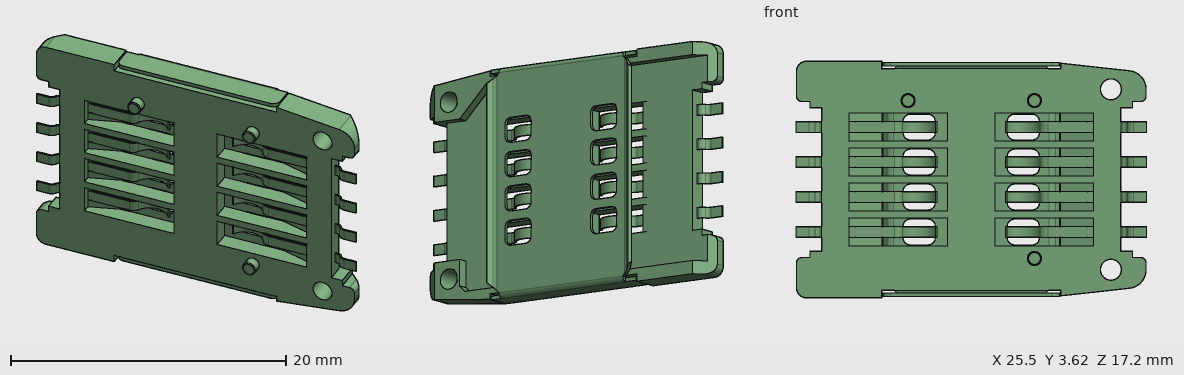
import cadquery as cq
import math


housing_length = 25.42
housing_width = 17.2
housing_depth = 2.1
waist_length = 21.73
notch_half_width = 5.2
step_length = 23.45
step_half_width = 5.65
taper_start_x = 5.15
taper_end_half_width = 7.78
entry_corner_radius = 0.76
far_corner_radius = 1.38
lobe_corner_radius = 0.4
end_chamfer = 1.3

pocket_floor_y = 1.3
pocket_half_width = 7.62
pocket_stop_x = 9.18
pocket_small_corner = 0.45
pocket_big_corner = pocket_half_width - notch_half_width

window_outer_x = 8.87
window_inner_x = 1.73
window_width = 2.01
window_row_span = 7.62
window_rows = 4
ramp_inner_x = 6.48
ramp_start_y = 0.59

hole_diameter = 1.5
hole_x = 10.15
hole_z = 6.55
pin_diameter = 1.02
pin_length = 0.76
pin_chamfer = 0.08
pin_x = 4.6
pin_z = 5.75

contact_width = 0.8
contact_thickness = 0.13
contact_front_y = ramp_start_y
contact_bend_angle = 60
contact_end_x = 12.75
foot_length = 0.97
tail_outer_radius = 0.5
spring_start_x = 5.55
spring_foot_radius = 0.66
spring_crest_radius = 1.5

clip_thickness = 0.28
clip_wall_length = 12.85
clip_wall_front_y = 0.23
clip_wall_corner_radius = 0.55
clip_half_width = 8.52
clip_bend_inner_radius = 0.08
clip_gap = 0.05
clip_plate_y = housing_depth + clip_gap
flare_start_x = 5.64
flare_outer_radius = 0.66
flare_angle = 45
flare_straight = 0.45
flare_tip_half_width = 7.22
clip_hole_outer_x = 4.95
clip_hole_inner_x = 2.63
clip_hole_width = 1.85
clip_hole_radius = 0.5

recess_length = 12.98
recess_half_width = 8.05

window_pitch = window_row_span / (window_rows - 1)
row_heights = [row * window_pitch - window_row_span / 2 for row in range(window_rows)]


def box(x_range, y_range, z_range):
    """Block between two limits along each axis."""
    size = [high - low for low, high in (x_range, y_range, z_range)]
    corner = cq.Vector(x_range[0], y_range[0], z_range[0])
    return cq.Workplane(cq.Solid.makeBox(*size, corner))


def front_plane(y):
    """Plane at depth y, seen from the front, that extrudes towards the back with a negative length."""
    return cq.Workplane("XZ", origin=(0, y, 0))


def mirror_ends(shape):
    """The shape together with its mirror image at the other end."""
    return shape.union(shape.mirror("YZ"))


def bent_strip(start, moves, thickness, width):
    """Sheet strip bent in the XY plane, starting towards +X and centred on Z = 0.

    start is on the front face. A move is (length, 0) for a straight stretch, or (front radius, turn)
    for a bend, where a positive turn in degrees bends the strip towards +Y.
    """
    front_x, front_y = start
    heading = 0.0

    def across(distance):
        offset_x = -math.sin(heading) * distance
        offset_y = math.cos(heading) * distance
        return (front_x + offset_x, front_y + offset_y)

    front_points = [across(0)]
    back_points = [across(thickness)]
    middles = []
    for size, turn in moves:
        if turn == 0:
            front_x += size * math.cos(heading)
            front_y += size * math.sin(heading)
            middles.append(None)
        else:
            side = math.copysign(size, turn)
            centre_x, centre_y = across(side)
            half_turn = math.radians(turn) / 2
            arc_points = []
            for _ in range(2):
                heading += half_turn
                front_x = centre_x + side * math.sin(heading)
                front_y = centre_y - side * math.cos(heading)
                arc_points.append((across(0), across(thickness)))
            middles.append(arc_points[0])
        front_points.append(across(0))
        back_points.append(across(thickness))

    outline = cq.Workplane("XY", origin=(0, 0, -width / 2)).moveTo(*front_points[0])
    for middle, point in zip(middles, front_points[1:]):
        outline = outline.threePointArc(middle[0], point) if middle else outline.lineTo(*point)
    outline = outline.lineTo(*back_points[-1])
    for middle, point in zip(reversed(middles), reversed(back_points[:-1])):
        outline = outline.threePointArc(middle[1], point) if middle else outline.lineTo(*point)
    return outline.close().extrude(width)


def round_corners(body, x, z, radius):
    """Round the two depth-wise edges of the housing at (x, z) and (x, -z)."""
    for side in (1, -1):
        edge_middle = (x, housing_depth / 2, side * z)
        body = body.edges(cq.selectors.NearestToPointSelector(edge_middle)).fillet(radius)
    return body


def housing_blank():
    """Plate outline with its rounded corners and the chamfered back ends."""
    end_x = housing_length / 2
    edge_z = housing_width / 2
    upper = [
        (-waist_length / 2, notch_half_width),
        (-step_length / 2, notch_half_width),
        (-step_length / 2, step_half_width),
        (-end_x, step_half_width),
        (-end_x, edge_z),
        (taper_start_x, edge_z),
        (end_x, taper_end_half_width),
        (end_x, step_half_width),
        (step_length / 2, step_half_width),
        (step_length / 2, notch_half_width),
        (waist_length / 2, notch_half_width),
    ]
    lower = [(x, -z) for x, z in reversed(upper)]
    blank = front_plane(0).polyline(upper + lower).close().extrude(-housing_depth)

    blank = round_corners(blank, -end_x, edge_z, entry_corner_radius)
    blank = round_corners(blank, end_x, taper_end_half_width, far_corner_radius)
    blank = round_corners(blank, -end_x, step_half_width, lobe_corner_radius)
    blank = round_corners(blank, end_x, step_half_width, lobe_corner_radius)

    wedge = (
        cq.Workplane("XY", origin=(0, 0, -housing_width / 2))
        .moveTo(end_x, housing_depth - end_chamfer)
        .lineTo(end_x, housing_depth)
        .lineTo(end_x - end_chamfer, housing_depth)
        .close()
        .extrude(housing_width)
    )
    return blank.cut(mirror_ends(wedge))


def card_pocket():
    """Pocket open at the -X end; its far end narrows to the notch width at one big and one small slant."""
    stop_x = pocket_stop_x
    return (
        front_plane(pocket_floor_y)
        .moveTo(-housing_length / 2, -pocket_half_width)
        .lineTo(stop_x - pocket_small_corner, -pocket_half_width)
        .lineTo(stop_x, -pocket_half_width + pocket_small_corner)
        .lineTo(stop_x, -notch_half_width)
        .lineTo(waist_length / 2, -notch_half_width)
        .lineTo(waist_length / 2, notch_half_width)
        .lineTo(stop_x, notch_half_width)
        .lineTo(stop_x - pocket_big_corner, pocket_half_width)
        .lineTo(-housing_length / 2, pocket_half_width)
        .close()
        .extrude(pocket_floor_y - housing_depth)
    )


def contact_window(z):
    """Opening with a sloped floor at its outer end, on the -X side."""
    return (
        cq.Workplane("XY", origin=(0, 0, z - window_width / 2))
        .moveTo(-window_outer_x, 0)
        .lineTo(-window_outer_x, ramp_start_y)
        .lineTo(-ramp_inner_x, pocket_floor_y)
        .lineTo(-window_inner_x, pocket_floor_y)
        .lineTo(-window_inner_x, 0)
        .close()
        .extrude(window_width)
    )


def contact(z):
    """Solder tail, flat arm and curved spring of one contact on the -X side."""
    bend = contact_bend_angle
    tail_inner_radius = tail_outer_radius - contact_thickness
    spring_inner_radius = spring_crest_radius - contact_thickness
    bend_sine = math.sin(math.radians(bend))
    tail_rise = (tail_outer_radius + tail_inner_radius) * (1 - math.cos(math.radians(bend)))
    tail_run = (tail_outer_radius + tail_inner_radius) * bend_sine
    arm_length = contact_end_x - foot_length - tail_run - spring_start_x
    moves = [
        (foot_length, 0),
        (tail_outer_radius, bend),
        (tail_inner_radius, -bend),
        (arm_length, 0),
        (spring_foot_radius, bend),
        (spring_inner_radius, -2 * bend),
    ]
    foot_tip = (-contact_end_x, contact_front_y - tail_rise)
    return bent_strip(foot_tip, moves, contact_thickness, contact_width).translate((0, 0, z))


def make_housing():
    """Moulded housing with its pins and the contacts fixed in it, as one solid."""
    body = housing_blank().cut(card_pocket())
    for side in (1, -1):
        recess_z = sorted((side * recess_half_width, side * housing_width / 2))
        body = body.cut(box((-recess_length / 2, recess_length / 2), (0, housing_depth), recess_z))

    hole_centres = [(hole_x, hole_z), (hole_x, -hole_z)]
    holes = front_plane(0).pushPoints(hole_centres).circle(hole_diameter / 2).extrude(-housing_depth)
    body = body.cut(holes)

    pin_centres = [(-pin_x, pin_z), (pin_x, pin_z), (pin_x, -pin_z)]
    pins = front_plane(0).pushPoints(pin_centres).circle(pin_diameter / 2).extrude(pin_length)
    body = body.union(pins.faces("<Y").chamfer(pin_chamfer))

    for z in row_heights:
        body = body.cut(mirror_ends(contact_window(z)))
        body = body.union(mirror_ends(contact(z)))
    return body


def clip_plate():
    """Flat plate with both ends flared backwards and narrowed by 45 degree side cuts.

    Also returns the distance from the middle to the start of the side cuts.
    """
    plate_half_width = clip_half_width - clip_thickness - clip_bend_inner_radius
    moves = [
        (flare_start_x, 0),
        (flare_outer_radius, flare_angle),
        (flare_straight, 0),
    ]
    half = bent_strip((0, clip_plate_y), moves, clip_thickness, 2 * plate_half_width)

    half_size = half.val().BoundingBox()
    tip_x = half_size.xmax
    side_cut = plate_half_width - flare_tip_half_width
    trimmed = (
        front_plane(0)
        .rect(2 * tip_x, 2 * plate_half_width)
        .extrude(-half_size.ymax)
        .edges("|Y")
        .chamfer(side_cut)
    )
    return mirror_ends(half).intersect(trimmed), tip_x - side_cut


def clip_wall():
    """Side wall on the +Z side."""
    wall_top_y = clip_plate_y - clip_bend_inner_radius
    wall_z = (clip_half_width - clip_thickness, clip_half_width)
    wall_x = (-clip_wall_length / 2, clip_wall_length / 2)
    wall = box(wall_x, (clip_wall_front_y, wall_top_y), wall_z)
    return wall.edges("|Z and <Y").fillet(clip_wall_corner_radius)


def clip_bend(half_length):
    """Quarter bend that joins the +Z side wall to the plate."""
    outer_radius = clip_bend_inner_radius + clip_thickness
    centre_y = clip_plate_y - clip_bend_inner_radius
    centre_z = clip_half_width - outer_radius
    ring = (
        cq.Workplane("YZ", origin=(-half_length, centre_y, centre_z))
        .circle(outer_radius)
        .circle(clip_bend_inner_radius)
        .extrude(2 * half_length)
    )
    quarter = box(
        (-half_length, half_length),
        (centre_y, centre_y + outer_radius),
        (centre_z, clip_half_width),
    )
    return ring.intersect(quarter)


def clip_holes():
    """Clearance holes behind the contact springs."""
    length = clip_hole_outer_x - clip_hole_inner_x
    middle_x = (clip_hole_outer_x + clip_hole_inner_x) / 2
    centres = [(side * middle_x, z) for side in (1, -1) for z in row_heights]
    return (
        front_plane(clip_plate_y)
        .pushPoints(centres)
        .rect(length, clip_hole_width)
        .extrude(-clip_thickness)
        .edges("|Y")
        .fillet(clip_hole_radius)
    )


def make_clip():
    """Sheet metal clip that covers the back and folds over both long edges."""
    body, bend_half_length = clip_plate()
    side = clip_wall().union(clip_bend(bend_half_length))
    return body.union(side).union(side.mirror("XY")).cut(clip_holes())


housing = make_housing()
clip = make_clip()
result = cq.Compound.makeCompound([*housing.solids().vals(), *clip.solids().vals()])